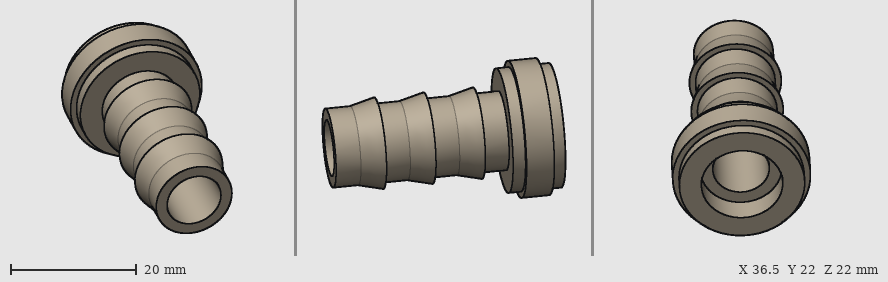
import cadquery as cq

length = 36.5

collar_diameter = 22.0
rim_diameter = 20.0
rim_width = 2.0
collar_width = 4.5
flange_width = collar_width + 2 * rim_width

tube_diameter = 12.7
barb_diameter = 14.7
barb_count = 3
barb_length = 4.0
barb_pitch = 8.0
first_barb_start = length - barb_count * barb_pitch

bore_diameter = 9.0
recess_diameter = 13.0
recess_depth = 4.27


def cylinder(start, width, diameter):
    """Cylinder on the X axis, beginning at x = start."""
    return cq.Workplane("YZ").workplane(offset=start).circle(diameter / 2).extrude(width)


def barb(start):
    """Cone on the X axis with its sharp shoulder at x = start."""
    profile = [
        (start, 0),
        (start, barb_diameter / 2),
        (start + barb_length, tube_diameter / 2),
        (start + barb_length, 0),
    ]
    return cq.Workplane("XY").polyline(profile).close().revolve(360, (0, 0, 0), (1, 0, 0))


body = cylinder(0, flange_width, rim_diameter)
body = body.union(cylinder(rim_width, collar_width, collar_diameter))
body = body.union(cylinder(0, length, tube_diameter))

for index in range(barb_count):
    body = body.union(barb(first_barb_start + index * barb_pitch))

body = body.cut(cylinder(0, length, bore_diameter))
result = body.cut(cylinder(0, recess_depth, recess_diameter))